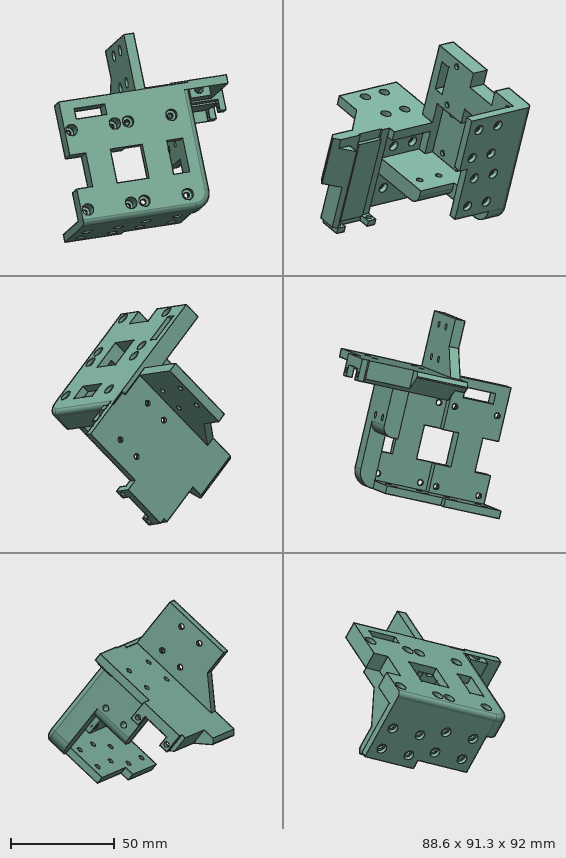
import cadquery as cq
import math

TILT = 39.0
SINE = math.sin(math.radians(TILT))
COSINE = math.cos(math.radians(TILT))

BRACKET_LENGTH = 28.6
BRACKET_STEP = 4.9
BRACKETS_END = 2 * BRACKET_LENGTH
WALL_END = 65.4
WALL_TOP = 61.4
WALL_THICKNESS = 8.7
HEAD_BOTTOM = 53.45
LEG_LENGTH = 37.9
LEG_THICKNESS = 3.9
EDGE_RADIUS = 2.5
CORNER_RADIUS = 8.0

WINDOW_BOTTOM = 17.9
WINDOW_TOP = 34.8
WINDOW_LENGTH = 8.1
SLOT_BOTTOM = 51.8
SLOT_TOP = 57.0
SLOT_START = 6.9
SLOT_END = 22.4

FLANGE_DEPTH = 11.8
FLANGE_PAD_DEPTH = 32.8
FLANGE_PAD_BOTTOM = 26.9
FLANGE_CORNER_RADIUS = 5.0

SHELF_TOP = 62.2
SHELF_BOTTOM = 58.0
SHELF_THICK_BOTTOM = 57.0
SHELF_PAD_BOTTOM = 56.1
SHELF_END = 85.1
HOOK_END = 91.3
NEAR_RELIEF = 2.3
MIDDLE_RELIEF = 0.5
NEAR_TIP = 66.7
FAR_TIP = 59.1
LUG_THICKNESS = 3.0
LUG_WIDTH = 4.7
LUG_BOTTOM = 51.4
INNER_LUG = 32.9
OUTER_LUG_TIP = 56.9
BODY_WIDTH = 88.6

OVERALL_HEIGHT = 92.0
PLATE_START = 39.5
PLATE_THICKNESS = 5.0
PLATE_END = PLATE_START + PLATE_THICKNESS
PLATE_TOP = (OVERALL_HEIGHT - (LEG_LENGTH - NEAR_RELIEF) * SINE) / COSINE
PLATE_DEPTH = 38.5
GUSSET_SIZE = 13.8
RECESS_START = 37.6
RECESS_END = 51.5

EAR_END = 75.5
EAR_RECESS = 0.2

SCREW_DIAMETER = 2.8
LUG_HOLE_DIAMETER = 2.6
FLANGE_HOLE_DIAMETER = 3.0
EAR_HOLE_DIAMETER = 4.3
EAR_HOLE_OFFSET = 4.8
WALL_BORE_DIAMETER = 5.5
SCREW_BORE_DIAMETER = 5.0
SEAT = 1.6
SCREW_PITCH = 12.0
WALL_HOLE_HEIGHTS = (7.3, 46.8)
WALL_HOLE_INSET = 3.5
WALL_HOLE_SPACING = 21.9
LEG_HOLE_DEPTH = 19.6
LEG_HOLE_INSET = 6.5
LEG_HOLE_SPACING = 15.9
INNER_SCREW_DEPTH = 14.3
SHELF_HOLE_POSITIONS = (51.8, 75.7)
PLATE_HOLE_HEIGHTS = (68.3, 84.3)
FLANGE_HOLE_DEPTHS = (14.8, 26.8)
FLANGE_HOLE_HEIGHT = 35.1


def block(depths, lengths, heights):
    """Box between two depths behind the wall face, two Y positions and two heights."""
    depth = depths[1] - depths[0]
    length = lengths[1] - lengths[0]
    height = heights[1] - heights[0]
    corner = (-depths[1], lengths[0], heights[0])
    return cq.Workplane("XY").box(depth, length, height, centered=False).translate(corner)


def pin(diameter, length, start, direction):
    """Cylinder used to drill a hole."""
    cylinder = cq.Solid.makeCylinder(diameter / 2, length, cq.Vector(*start), cq.Vector(*direction))
    return cq.Workplane(cylinder)


def bored_hole(bore_diameter, thickness, start, direction):
    """Screw hole through a thickness, counterbored from its start down to a thin seat."""
    bore = pin(bore_diameter, thickness - SEAT, start, direction)
    return pin(SCREW_DIAMETER, thickness, start, direction).union(bore)


def bracket(index):
    """One wall-and-leg bracket with its windows and screw holes."""
    start = index * BRACKET_LENGTH
    end = start + BRACKET_LENGTH
    wall = WALL_THICKNESS - index * BRACKET_STEP
    leg = LEG_LENGTH - index * BRACKET_STEP
    body = block((0, wall), (start, end), (0, WALL_TOP))
    body = body.union(block((0, leg), (start, end), (0, LEG_THICKNESS)))
    for window_start in (start, end - WINDOW_LENGTH):
        window_span = (window_start, window_start + WINDOW_LENGTH)
        body = body.cut(block((0, wall), window_span, (WINDOW_BOTTOM, WINDOW_TOP)))
    for side in range(2):
        wall_y = start + WALL_HOLE_INSET + side * WALL_HOLE_SPACING
        for height in WALL_HOLE_HEIGHTS:
            body = body.cut(bored_hole(WALL_BORE_DIAMETER, wall, (0, wall_y, height), (-1, 0, 0)))
        leg_y = start + LEG_HOLE_INSET + side * LEG_HOLE_SPACING
        for row in range(2):
            depth = LEG_HOLE_DEPTH - index * BRACKET_STEP + row * SCREW_PITCH
            body = body.cut(bored_hole(SCREW_BORE_DIAMETER, LEG_THICKNESS, (-depth, leg_y, 0), (0, 0, 1)))
    return body


def flange():
    """Far end of the wall: a rib with a rounded corner and a pad with two holes."""
    span = (BRACKETS_END, WALL_END)
    rib = block((0, FLANGE_DEPTH), span, (0, SHELF_BOTTOM))
    rib = rib.edges(">Y and <Z").fillet(CORNER_RADIUS)
    pad = block((0, FLANGE_PAD_DEPTH), span, (FLANGE_PAD_BOTTOM, SHELF_BOTTOM))
    pad = pad.edges(">Y and <Z").fillet(FLANGE_CORNER_RADIUS)
    body = rib.union(pad)
    for depth in FLANGE_HOLE_DEPTHS:
        start = (-depth, BRACKETS_END, FLANGE_HOLE_HEIGHT)
        body = body.cut(pin(FLANGE_HOLE_DIAMETER, WALL_END - BRACKETS_END, start, (0, 1, 0)))
    return body


def wall_with_legs():
    """Both brackets, the flange and the thick head, with the outer edge rounded."""
    head = block((0, WALL_THICKNESS), (0, BRACKETS_END), (HEAD_BOTTOM, WALL_TOP))
    body = bracket(0).union(bracket(1)).union(head).union(flange())
    slot = block((0, WALL_THICKNESS), (SLOT_START, SLOT_END), (SLOT_BOTTOM, SLOT_TOP))
    body = body.cut(slot).clean()
    return body.faces(">X").edges("<Z").fillet(EDGE_RADIUS)


def ear():
    """Drilled ear beyond the flange."""
    body = block((EAR_RECESS, WALL_THICKNESS), (WALL_END, EAR_END), (HEAD_BOTTOM, WALL_TOP))
    centre = (0, WALL_END + EAR_HOLE_OFFSET, (HEAD_BOTTOM + WALL_TOP) / 2)
    return body.cut(pin(EAR_HOLE_DIAMETER, WALL_THICKNESS, centre, (-1, 0, 0)))


def side_plate():
    """Upright plate with a 45 degree gusset, joined to the near end of the shelf."""
    outline = [
        (-NEAR_RELIEF, HEAD_BOTTOM),
        (-NEAR_RELIEF, PLATE_TOP),
        (-PLATE_DEPTH, PLATE_TOP),
        (-PLATE_DEPTH, SHELF_TOP + GUSSET_SIZE),
        (-PLATE_DEPTH - GUSSET_SIZE, SHELF_TOP),
        (-NEAR_TIP, SHELF_TOP),
        (-NEAR_TIP, SHELF_THICK_BOTTOM),
        (-RECESS_END, SHELF_THICK_BOTTOM),
        (-RECESS_END, SHELF_BOTTOM),
        (-RECESS_START, SHELF_BOTTOM),
        (-RECESS_START, SHELF_THICK_BOTTOM),
        (-INNER_LUG, SHELF_THICK_BOTTOM),
        (-INNER_LUG, HEAD_BOTTOM),
    ]
    body = cq.Workplane("XZ").polyline(outline).close().extrude(-PLATE_THICKNESS)
    body = body.translate((0, PLATE_START, 0))
    for row in range(2):
        depth = INNER_SCREW_DEPTH + row * SCREW_PITCH
        for height in PLATE_HOLE_HEIGHTS:
            start = (-depth, PLATE_START, height)
            body = body.cut(bored_hole(SCREW_BORE_DIAMETER, PLATE_THICKNESS, start, (0, 1, 0)))
    return body


def shelf():
    """Shelf plate with its stepped ends, underside lip and pair of lugs."""
    lug_start = HOOK_END - LUG_THICKNESS
    thin = (SHELF_BOTTOM, SHELF_TOP)
    thick = (SHELF_THICK_BOTTOM, SHELF_TOP)
    lip = (LUG_BOTTOM, SHELF_TOP)
    body = block((NEAR_RELIEF, NEAR_TIP), (PLATE_END, BRACKETS_END), thin)
    body = body.union(block((MIDDLE_RELIEF, NEAR_TIP), (BRACKETS_END, WALL_END), thin))
    body = body.union(block((0, NEAR_TIP), (BRACKETS_END, WALL_END), (SHELF_BOTTOM, WALL_TOP)))
    body = body.union(block((0, FAR_TIP), (WALL_END, SHELF_END), thin))
    body = body.union(block((INNER_LUG, NEAR_TIP), (PLATE_END, WALL_END), thick))
    body = body.union(block((INNER_LUG, FAR_TIP), (WALL_END, lug_start), thick))
    body = body.union(block((INNER_LUG, OUTER_LUG_TIP), (lug_start, HOOK_END), thick))
    body = body.union(block((OUTER_LUG_TIP, NEAR_TIP), (PLATE_END, WALL_END), lip))
    body = body.union(block((OUTER_LUG_TIP, FAR_TIP), (WALL_END, lug_start), lip))
    pad = block((RECESS_START, RECESS_END), (PLATE_END, lug_start), (SHELF_PAD_BOTTOM, SHELF_TOP))
    body = body.union(pad)
    for inner in (INNER_LUG, OUTER_LUG_TIP - LUG_WIDTH):
        body = body.union(block((inner, inner + LUG_WIDTH), (lug_start, HOOK_END), lip))
        centre = (-inner - LUG_WIDTH / 2, lug_start, (LUG_BOTTOM + SHELF_THICK_BOTTOM) / 2)
        body = body.cut(pin(LUG_HOLE_DIAMETER, LUG_THICKNESS, centre, (0, 1, 0)))
    for row in range(2):
        depth = INNER_SCREW_DEPTH + row * SCREW_PITCH
        for position in SHELF_HOLE_POSITIONS:
            start = (-depth, position, SHELF_BOTTOM)
            body = body.cut(bored_hole(SCREW_BORE_DIAMETER, SHELF_TOP - SHELF_BOTTOM, start, (0, 0, 1)))
    return body


def tilt(body):
    """Turn a body from the upright frame to its final angle."""
    return body.rotate((0, 0, 0), (0, 1, 0), -TILT)


def trim_tip(body):
    """Cut the tilted shelf tip off upright and level, flush with the outer lug's corner."""
    wall_extent = EDGE_RADIUS * (1 - SINE - COSINE)
    left = wall_extent - BODY_WIDTH
    floor = LUG_BOTTOM * COSINE - OUTER_LUG_TIP * SINE
    keep = cq.Workplane("XY").box(BODY_WIDTH, HOOK_END, PLATE_TOP, centered=False)
    return body.intersect(keep.translate((left, 0, floor)))


shelf_and_plate = trim_tip(tilt(side_plate().union(shelf())))
result = shelf_and_plate.union(tilt(wall_with_legs().union(ear()))).clean()